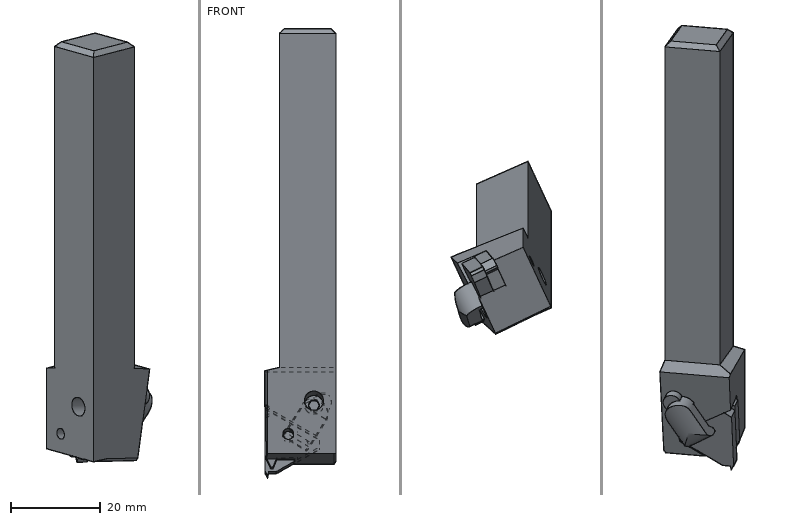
import cadquery as cq
import math


SHANK_WIDTH = 12.7
HALF_SHANK = SHANK_WIDTH / 2
SHANK_TOP = 100.9
SHANK_CHAMFER = 1.1

HEAD_SIDE_X = -9.7
HEAD_SIDE_BACK_X = -9.0
HEAD_FRONT_Y = 11.1
SHOULDER_Z = 24.9
SHOULDER_SLOPE = 13.0
FACE_TILT = 10.5
FLOOR_BACK_Z = 5.5
FLOOR_SLOPE = 10.0
FLOOR_CHAMFER_X = 0.7
FLOOR_CHAMFER_Z = 0.4

SEAT_TILT = 9.0
SEAT_Y = 6.4
INSERT_THICKNESS = 3.2
SHIM_THICKNESS = 3.0
POCKET_DEPTH = INSERT_THICKNESS + SHIM_THICKNESS

SIDE_X = -9.6
FLAT_V = 1.0
FLAT_END_X = -7.1
TRIANGLE_SLOPE = math.tan(math.radians(30))
UPPER_CORNER_V = 15.8
RIGHT_CUT_X = 2.6
INSERT_CUT = 1.9
SHIM_CUT = 1.0
TOOTH_ROOT_X = (-9.5, -8.8)
TOOTH_TIP_X = -9.0
SHIM_NOSE = [(-7.0, 3.6), (-7.8, 1.6), (-8.3, 1.6), (SIDE_X, 4.3)]
SHIM_FLOOR_END_X = -2.3

CLAMP_HOLE = (1.4, 15.2)
CLAMP_HOLE_DIAMETER = 4.2
CLAMP_HOLE_DEPTH = 6.1
SOCKET_FLATS = 2.2
SOCKET_DEPTH = 1.5
SHIM_HOLE = (-4.3, 7.9)
SHIM_HOLE_DIAMETER = 2.4
SHIM_HOLE_DEPTH = 4.0

CLAMP_RADIUS = 3.1
CLAMP_HEIGHT = 5.2
CLAMP_DOME_DROP = 0.9
CLAMP_ROOT = 2.5
CLAMP_LENGTH = 8.4
CLAMP_ANGLE = 32.0
CLAMP_GAP = 1.2
CLAMP_FOOT = 0.9
CLAMP_NOSE_RADIUS = 4.0

HEEL_CENTER = (3.3, 17.6)
HEEL_RADIUS = 2.0
HEEL_HEIGHT = 2.9

MARGIN = 10.1


def tan_deg(angle):
    return math.tan(math.radians(angle))


def seat_plane(depth=0.0):
    """Plane parallel to the seat; its Y axis points up the seat and its normal points into the head."""
    tilt = math.radians(SEAT_TILT)
    normal = cq.Vector(0, -math.cos(tilt), math.sin(tilt))
    return cq.Plane(origin=cq.Vector(0, SEAT_Y, 0) + normal * depth, xDir=(1, 0, 0), normal=normal)


def lower_edge(x):
    return FLAT_V + TRIANGLE_SLOPE * (x - FLAT_END_X)


def upper_edge(x):
    return UPPER_CORNER_V - TRIANGLE_SLOPE * (x - SIDE_X)


def prism(points, start_depth, thickness):
    return cq.Workplane(seat_plane(start_depth)).polyline(points).close().extrude(thickness)


def blunt_right_corner():
    return [(RIGHT_CUT_X, upper_edge(RIGHT_CUT_X)), (RIGHT_CUT_X, lower_edge(RIGHT_CUT_X))]


def upper_corner_cut(length):
    cut_x = SIDE_X + length
    cut_v = upper_edge(cut_x)
    return [(SIDE_X, cut_v - TRIANGLE_SLOPE * length), (cut_x, cut_v)]


def make_shank():
    shank = cq.Workplane("XY", origin=(0, 0, FLOOR_BACK_Z)).rect(SHANK_WIDTH, SHANK_WIDTH)
    shank = shank.extrude(SHANK_TOP - FLOOR_BACK_Z)
    return shank.faces(">Z").chamfer(SHANK_CHAMFER)


def make_head():
    back_y = -HALF_SHANK
    face_lean = tan_deg(FACE_TILT)
    floor_fall = tan_deg(FLOOR_SLOPE)
    front_top_z = SHOULDER_Z - (HEAD_FRONT_Y - HALF_SHANK) * tan_deg(SHOULDER_SLOPE)
    front_floor_y = HEAD_FRONT_Y - face_lean * (front_top_z - FLOOR_BACK_Z - back_y * floor_fall)
    front_floor_y /= 1 + face_lean * floor_fall
    front_floor_z = FLOOR_BACK_Z - (front_floor_y - back_y) * floor_fall
    side_profile = [
        (back_y, FLOOR_BACK_Z),
        (front_floor_y, front_floor_z),
        (HEAD_FRONT_Y, front_top_z),
        (HALF_SHANK, SHOULDER_Z),
        (back_y, SHOULDER_Z),
    ]
    head = cq.Workplane("YZ", origin=(HEAD_SIDE_X, 0, 0)).polyline(side_profile).close()
    head = head.extrude(HALF_SHANK - HEAD_SIDE_X)

    plan = [
        (HEAD_SIDE_BACK_X, back_y),
        (HALF_SHANK, back_y),
        (HALF_SHANK, HEAD_FRONT_Y),
        (HEAD_SIDE_X, HEAD_FRONT_Y),
    ]
    head = head.intersect(cq.Workplane("XY").polyline(plan).close().extrude(SHOULDER_Z))

    outer_x = -HALF_SHANK - MARGIN
    shoulder = [
        (-HALF_SHANK, SHOULDER_Z),
        (outer_x, SHOULDER_Z),
        (outer_x, SHOULDER_Z - MARGIN * tan_deg(SHOULDER_SLOPE)),
    ]
    shoulder_cut = cq.Workplane("XZ", origin=(0, back_y, 0)).polyline(shoulder).close()
    head = head.cut(shoulder_cut.extrude(back_y - HEAD_FRONT_Y))

    floor_edge = head.edges(cq.selectors.NearestToPointSelector((HALF_SHANK, 0, FLOOR_BACK_Z)))
    return floor_edge.chamfer(FLOOR_CHAMFER_Z, FLOOR_CHAMFER_X)


def make_pocket():
    outer_x = SIDE_X - MARGIN
    outline = [(outer_x, lower_edge(outer_x)), (outer_x, upper_edge(outer_x)), *blunt_right_corner()]
    return prism(outline, -MARGIN, MARGIN + POCKET_DEPTH)


def make_shim():
    floor_end = (SHIM_FLOOR_END_X, lower_edge(SHIM_FLOOR_END_X))
    outline = [*upper_corner_cut(SHIM_CUT), *blunt_right_corner(), floor_end, *SHIM_NOSE]
    return prism(outline, INSERT_THICKNESS, SHIM_THICKNESS)


def hole_start(center, depth):
    """Sketch at the floor of a blind hole of this depth, sunk from the back face square to the seat."""
    back_depth = (SEAT_Y + HALF_SHANK) / math.cos(math.radians(SEAT_TILT))
    back_depth += center[1] * tan_deg(SEAT_TILT)
    return cq.Workplane(seat_plane(back_depth - depth)).center(*center)


def make_screw_hole(center, diameter, depth):
    return hole_start(center, depth).circle(diameter / 2).extrude(depth + MARGIN)


def make_socket():
    corner_diameter = SOCKET_FLATS / math.cos(math.radians(30))
    socket = hole_start(CLAMP_HOLE, CLAMP_HOLE_DEPTH + SOCKET_DEPTH)
    return socket.polygon(6, corner_diameter).extrude(SOCKET_DEPTH)


def make_clamp():
    """Round-ended finger, bridged over a gap, with a rounded nose that rests on the insert."""
    plan = cq.Workplane("XY").moveTo(0, CLAMP_RADIUS).lineTo(CLAMP_LENGTH, CLAMP_RADIUS)
    plan = plan.lineTo(CLAMP_LENGTH, -CLAMP_RADIUS).lineTo(0, -CLAMP_RADIUS)
    plan = plan.threePointArc((-CLAMP_RADIUS, 0), (0, CLAMP_RADIUS)).close()
    finger = plan.extrude(CLAMP_HEIGHT + CLAMP_ROOT).translate((0, 0, -CLAMP_ROOT))

    gap_end = CLAMP_LENGTH - CLAMP_FOOT
    side = cq.Workplane("XZ").moveTo(-CLAMP_RADIUS, -CLAMP_ROOT).lineTo(0, -CLAMP_ROOT).lineTo(0, CLAMP_GAP)
    side = side.lineTo(gap_end - CLAMP_GAP, CLAMP_GAP).lineTo(gap_end, 0).lineTo(CLAMP_LENGTH, 0)
    side = side.lineTo(CLAMP_LENGTH, CLAMP_HEIGHT - CLAMP_NOSE_RADIUS)
    bend_x = CLAMP_LENGTH - CLAMP_NOSE_RADIUS
    diagonal = CLAMP_NOSE_RADIUS * math.sqrt(0.5)
    bend_middle = (bend_x + diagonal, CLAMP_HEIGHT - CLAMP_NOSE_RADIUS + diagonal)
    side = side.threePointArc(bend_middle, (bend_x, CLAMP_HEIGHT))
    side = side.lineTo(-CLAMP_RADIUS, CLAMP_HEIGHT).close()
    finger = finger.intersect(side.extrude(CLAMP_RADIUS, both=True))

    edge_height = CLAMP_HEIGHT - CLAMP_DOME_DROP
    dome = cq.Workplane("YZ", origin=(-CLAMP_RADIUS, 0, 0)).moveTo(-CLAMP_RADIUS, -CLAMP_ROOT)
    dome = dome.lineTo(-CLAMP_RADIUS, edge_height)
    dome = dome.threePointArc((0, CLAMP_HEIGHT), (CLAMP_RADIUS, edge_height))
    dome = dome.lineTo(CLAMP_RADIUS, -CLAMP_ROOT).close()
    finger = finger.intersect(dome.extrude(CLAMP_RADIUS + CLAMP_LENGTH))

    tilt = math.radians(SEAT_TILT)
    turn = math.radians(CLAMP_ANGLE)
    along = cq.Vector(-math.sin(turn), -math.cos(turn) * math.sin(tilt), -math.cos(turn) * math.cos(tilt))
    outward = seat_plane().zDir * -1
    center = seat_plane().toWorldCoords((*CLAMP_HOLE, 0))
    placed = cq.Plane(origin=center, xDir=along, normal=outward)
    return cq.Workplane(finger.val().located(cq.Location(placed)))


def make_heel():
    heel = cq.Workplane(seat_plane(-HEEL_HEIGHT)).center(*HEEL_CENTER).circle(HEEL_RADIUS)
    return heel.extrude(HEEL_HEIGHT + CLAMP_ROOT)


def make_holder():
    holder = make_shank().union(make_head()).cut(make_pocket())
    holder = holder.union(make_shim()).union(make_clamp()).union(make_heel())
    holder = holder.cut(make_screw_hole(CLAMP_HOLE, CLAMP_HOLE_DIAMETER, CLAMP_HOLE_DEPTH))
    holder = holder.cut(make_socket())
    return holder.cut(make_screw_hole(SHIM_HOLE, SHIM_HOLE_DIAMETER, SHIM_HOLE_DEPTH))


def make_insert():
    """Triangular insert with blunt corners and a sharp tooth at its lower left corner."""
    tooth = [(TOOTH_ROOT_X[1], FLAT_V), (TOOTH_TIP_X, 0), (TOOTH_ROOT_X[0], FLAT_V)]
    outline = [
        *upper_corner_cut(INSERT_CUT),
        *blunt_right_corner(),
        (FLAT_END_X, FLAT_V),
        *tooth,
        (SIDE_X, FLAT_V),
    ]
    return prism(outline, 0, INSERT_THICKNESS)


holder = make_holder()
insert = make_insert()
result = cq.Compound.makeCompound([holder.val(), insert.val()])